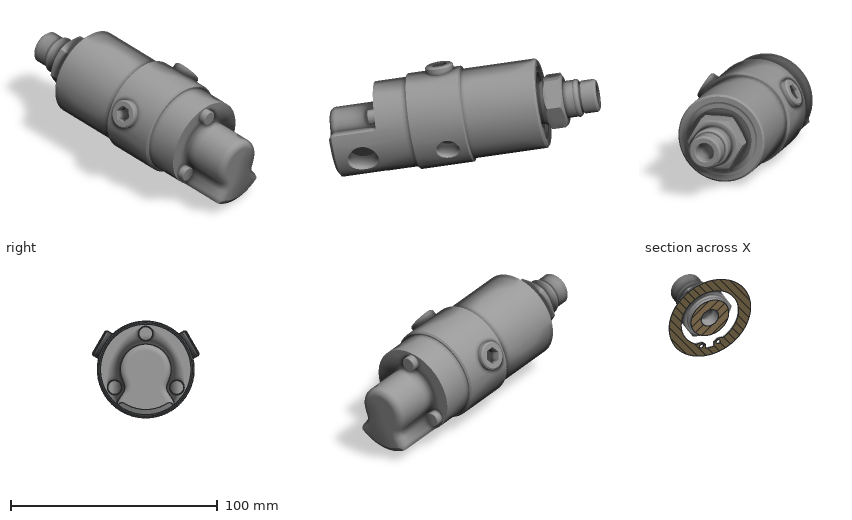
import cadquery as cq
import math


BORE_D = 9.0
BORE_CHAMFER = 0.4
NOSE_D = 16.0
NOSE_FACE_D = 14.2
NOSE_FRONT_CHAMFER = 0.9
NOSE_BACK_X = 7.2
GROOVE_D = 14.2
GROOVE_START_X = 8.1
GROOVE_END_X = 11.0
SEAL_SECTION_R = 1.5
SEAL_CENTRE_X = 9.9
SEAL_MEAN_R = 7.7
SHAFT_D = 18.0
HEX_START_X = 15.8
HEX_END_X = 25.2
HEX_ACROSS_FLATS = 24.0
HEX_FRONT_FACE_D = 22.4
HEX_BACK_FACE_D = 23.5
HEX_CHAMFER_LENGTH = 1.4
COLLAR_D = 21.4
COLLAR_END_X = 26.9
NECK_D = 20.3

BODY_START_X = 27.1
BODY_D = 43.7
BODY_CHAMFER = 0.9
BAND_START_X = 63.5
BAND_END_X = 90.9
BAND_D = 46.8
BAND_CHAMFER = 0.8
BODY_END_X = 106.7
TAIL_END_X = 130.4

RECESS_D = 34.7
RECESS_MOUTH_D = 36.6
RECESS_CHAMFER_LENGTH = 0.5
RING_FRONT_X = 27.6
RING_THICKNESS = 1.2
RING_INNER_D = 30.4
RING_GAP = 4.3
LUG_TOP_Z = -13.2
LUG_INNER_Y = 4.0
LUG_OUTER_Y = 6.6
LUG_SHOULDER_Z = -14.9
LUG_HOLE_D = 2.0
LUG_HOLE_Y = 4.4
LUG_HOLE_Z = -15.4
FLOOR_D = 30.1
FLOOR_STEP = 0.4

PORT_X = 73.9
PORT_SPACING = 120
PLUG_D = 13.7
PLUG_TOP_R = 26.2
PLUG_CHAMFER = 0.7
PLUG_HEX_ACROSS_FLATS = 7.2
PLUG_HEX_DEPTH = 5.5
DRAIN_D = 11.5
PORT_DEPTH = 10.4

BOSS_R = 12.3
BOSS_TANGENT_Z = -4.3
FLANK_END_Z = -9.3
FOOT_HALF_WIDTH = 13.7
FOOT_SLOPE = 33
FOOT_CORNER_R = 4.3
TAIL_END_FILLET = 3.3
TAIL_BASE_FILLET = 1.4
TAIL_CHAMFER_LENGTH = 1.5
TAIL_CHAMFER_HEIGHT = 2.5
TAIL_PORT_X = 115.6
TAIL_PORT_D = 15.0

SCREW_D = 7.2
SCREW_CIRCLE_R = 17.3
SCREW_HEIGHT = 3.5
SCREW_CHAMFER = 0.3
SCREW_COUNT = 3

RECESS_FLOOR_X = RING_FRONT_X + RING_THICKNESS
ROTOR_END_X = RECESS_FLOOR_X + FLOOR_STEP
HEX_CORNER_D = HEX_ACROSS_FLATS / math.cos(math.radians(30))
OVERSIZE_R = BAND_D


def turned(points):
    """Solid of revolution about X from (x, radius) points, closed along the axis."""
    closed = [(points[0][0], 0), *points, (points[-1][0], 0)]
    return cq.Workplane("XY").polyline(closed).close().revolve(360, (0, 0, 0), (1, 0, 0))


def rod(diameter, start_x, end_x):
    """Cylinder along the X axis."""
    return cq.Workplane("YZ", origin=(start_x, 0, 0)).circle(diameter / 2).extrude(end_x - start_x)


def make_hexagon():
    """Spanner hexagon with corners at +Y and -Y and both ends chamfered."""
    length = HEX_END_X - HEX_START_X
    hexagon = cq.Workplane("YZ", origin=(HEX_START_X, 0, 0)).polygon(6, HEX_CORNER_D).extrude(length)
    corner_cone = turned([
        (HEX_START_X, HEX_FRONT_FACE_D / 2),
        (HEX_START_X + HEX_CHAMFER_LENGTH, HEX_CORNER_D / 2),
        (HEX_END_X - HEX_CHAMFER_LENGTH, HEX_CORNER_D / 2),
        (HEX_END_X, HEX_BACK_FACE_D / 2),
    ])
    return hexagon.intersect(corner_cone)


def make_rotor():
    """Nose, seal groove with seal, shaft, hexagon, collar and neck, bored through."""
    shaft = turned([
        (0, NOSE_FACE_D / 2),
        (NOSE_FRONT_CHAMFER, NOSE_D / 2),
        (NOSE_BACK_X, NOSE_D / 2),
        (GROOVE_START_X, GROOVE_D / 2),
        (GROOVE_END_X, GROOVE_D / 2),
        (GROOVE_END_X, SHAFT_D / 2),
        (HEX_START_X, SHAFT_D / 2),
        (HEX_START_X, COLLAR_D / 2),
        (COLLAR_END_X, COLLAR_D / 2),
        (COLLAR_END_X, NECK_D / 2),
        (ROTOR_END_X, NECK_D / 2),
    ])
    seal = (
        cq.Workplane("XY", origin=(SEAL_CENTRE_X, SEAL_MEAN_R, 0))
        .circle(SEAL_SECTION_R)
        .revolve(360, (0, -SEAL_MEAN_R, 0), (1, -SEAL_MEAN_R, 0))
    )
    bore = turned([
        (0, BORE_D / 2 + BORE_CHAMFER),
        (BORE_CHAMFER, BORE_D / 2),
        (ROTOR_END_X, BORE_D / 2),
    ])
    return shaft.union(seal).union(make_hexagon()).cut(bore)


def make_housing_outline():
    """Turned outline of the housing, long enough to contain the tail."""
    body_r = BODY_D / 2
    band_r = BAND_D / 2
    return turned([
        (BODY_START_X, body_r - BODY_CHAMFER),
        (BODY_START_X + BODY_CHAMFER, body_r),
        (BAND_START_X, body_r),
        (BAND_START_X + BAND_CHAMFER, band_r),
        (BAND_END_X - BAND_CHAMFER, band_r),
        (BAND_END_X, band_r - BAND_CHAMFER),
        (BAND_END_X, body_r),
        (TAIL_END_X - TAIL_CHAMFER_LENGTH, body_r),
        (TAIL_END_X, body_r - TAIL_CHAMFER_HEIGHT),
    ])


def make_tail_stock():
    """Boss and foot of constant section, wider and deeper than the housing outline at the bottom."""
    tangent_y = math.sqrt(BOSS_R**2 - BOSS_TANGENT_Z**2)
    waist_y = tangent_y + (BOSS_TANGENT_Z - FLANK_END_Z) * BOSS_TANGENT_Z / tangent_y
    shoulder_z = FLANK_END_Z - (FOOT_HALF_WIDTH - waist_y) / math.tan(math.radians(FOOT_SLOPE))
    tail = (
        cq.Workplane("YZ", origin=(BODY_END_X, 0, 0))
        .moveTo(tangent_y, BOSS_TANGENT_Z)
        .threePointArc((0, BOSS_R), (-tangent_y, BOSS_TANGENT_Z))
        .lineTo(-waist_y, FLANK_END_Z)
        .lineTo(-FOOT_HALF_WIDTH, shoulder_z)
        .lineTo(-FOOT_HALF_WIDTH, -BAND_D / 2)
        .lineTo(FOOT_HALF_WIDTH, -BAND_D / 2)
        .lineTo(FOOT_HALF_WIDTH, shoulder_z)
        .lineTo(waist_y, FLANK_END_Z)
        .close()
        .extrude(TAIL_END_X - BODY_END_X)
    )
    corner_half = cq.selectors.BoxSelector(
        (BODY_END_X, -OVERSIZE_R, shoulder_z - 0.1), (TAIL_END_X, OVERSIZE_R, FLANK_END_Z + 0.1)
    )
    tail = tail.edges("|X").edges(corner_half).fillet(FOOT_CORNER_R)
    return tail.faces(">X").edges("not(<Z)").fillet(TAIL_END_FILLET)


def make_housing_blank():
    """Stepped body with the tail blended into its rear face, trimmed to the turned outline."""
    stock = rod(2 * OVERSIZE_R, BODY_START_X, BODY_END_X).union(make_tail_stock())
    rear_face = cq.selectors.BoxSelector(
        (BODY_END_X - 0.1, -BOSS_R - 2.6, -BAND_D / 2 + 0.1), (BODY_END_X + 0.1, BOSS_R + 2.6, OVERSIZE_R - 1.3)
    )
    stock = stock.edges(rear_face).fillet(TAIL_BASE_FILLET)
    return stock.intersect(make_housing_outline())


def make_ring():
    """Open retaining ring with two drilled lugs beside its gap at the bottom."""
    plane = cq.Workplane("YZ", origin=(RING_FRONT_X, 0, 0))
    ring = plane.circle(RECESS_D / 2).circle(RING_INNER_D / 2).extrude(RING_THICKNESS)
    lugs = (
        plane.moveTo(-LUG_OUTER_Y, LUG_TOP_Z)
        .lineTo(-LUG_INNER_Y, LUG_TOP_Z)
        .lineTo(-RING_GAP / 2, LUG_SHOULDER_Z)
        .lineTo(RING_GAP / 2, LUG_SHOULDER_Z)
        .lineTo(LUG_INNER_Y, LUG_TOP_Z)
        .lineTo(LUG_OUTER_Y, LUG_TOP_Z)
        .lineTo(LUG_OUTER_Y, -RECESS_D / 2)
        .lineTo(-LUG_OUTER_Y, -RECESS_D / 2)
        .close()
        .extrude(RING_THICKNESS)
        .intersect(rod(RECESS_D, RING_FRONT_X, RECESS_FLOOR_X))
    )
    gap = plane.center(0, -RECESS_D / 2).rect(RING_GAP, -2 * (LUG_TOP_Z + RECESS_D / 2)).extrude(RING_THICKNESS)
    holes = (
        plane.pushPoints([(-LUG_HOLE_Y, LUG_HOLE_Z), (LUG_HOLE_Y, LUG_HOLE_Z)])
        .circle(LUG_HOLE_D / 2)
        .extrude(RING_THICKNESS)
    )
    return ring.union(lugs).cut(gap).cut(holes)


def make_recess():
    """Stepped, chamfered pocket in the front face that takes the ring and the rotor neck."""
    return turned([
        (BODY_START_X, RECESS_MOUTH_D / 2),
        (BODY_START_X + RECESS_CHAMFER_LENGTH, RECESS_D / 2),
        (RECESS_FLOOR_X, RECESS_D / 2),
        (RECESS_FLOOR_X, FLOOR_D / 2),
        (ROTOR_END_X, FLOOR_D / 2),
    ])


def around_axis(shape, angle):
    """Turn a shape about the X axis."""
    return shape.rotate((0, 0, 0), (1, 0, 0), angle)


def make_plug():
    """Socket plug pointing up from the X axis, chamfered at its face."""
    plug = cq.Workplane("XY").center(PORT_X, 0).circle(PLUG_D / 2).extrude(PLUG_TOP_R)
    return plug.faces(">Z").chamfer(PLUG_CHAMFER)


def make_plug_socket():
    """Hexagon socket of a plug, with corners along X."""
    corner_d = PLUG_HEX_ACROSS_FLATS / math.cos(math.radians(30))
    top = cq.Workplane("XY", origin=(PORT_X, 0, PLUG_TOP_R))
    return top.polygon(6, corner_d).extrude(-PLUG_HEX_DEPTH)


def bottom_port(x, diameter, surface_r):
    """Blind hole entering from below."""
    return cq.Workplane("XY", origin=(x, 0, -surface_r)).circle(diameter / 2).extrude(PORT_DEPTH)


def make_screw():
    """Chamfered screw head on the rear face, above the X axis."""
    head = cq.Workplane("YZ", origin=(BODY_END_X, 0, SCREW_CIRCLE_R)).circle(SCREW_D / 2).extrude(SCREW_HEIGHT)
    return head.faces(">X").chamfer(SCREW_CHAMFER)


def make_housing():
    """Blank with its recess, ring, plugs, screw heads and bottom ports."""
    housing = make_housing_blank().cut(make_recess()).union(make_ring())
    for side in (-1, 1):
        plug_angle = side * PORT_SPACING / 2
        housing = housing.union(around_axis(make_plug(), plug_angle))
        housing = housing.cut(around_axis(make_plug_socket(), plug_angle))
    for index in range(SCREW_COUNT):
        housing = housing.union(around_axis(make_screw(), index * 360 / SCREW_COUNT))
    housing = housing.cut(bottom_port(PORT_X, DRAIN_D, BAND_D / 2))
    return housing.cut(bottom_port(TAIL_PORT_X, TAIL_PORT_D, BODY_D / 2))


rotor = make_rotor()
housing = make_housing()

result = cq.Compound.makeCompound([rotor.val(), housing.val()])